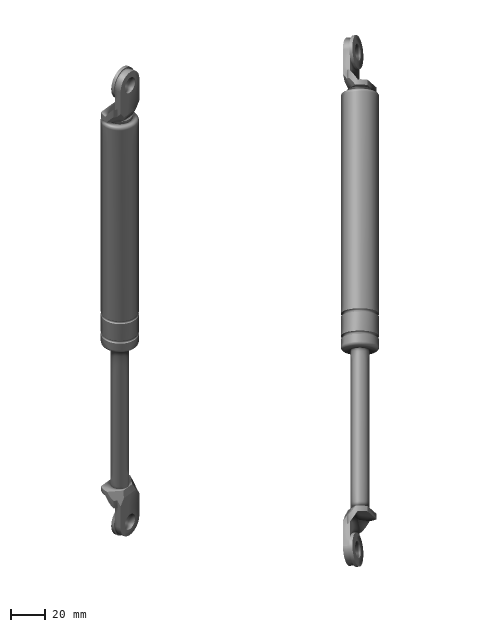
import cadquery as cq

total_length = 325.0
half_length = total_length / 2

eye_radius = 10.0
eye_hole_diameter = 10.0
eye_thickness = 2.0
eye_height = half_length - eye_radius

foot_radius = 11.2
foot_flat_x = -7.5
foot_thickness = 3.2
foot_bottom = half_length - 33.5
foot_top = foot_bottom + foot_thickness
tongue_inner_x = 3.2
tongue_outer_x = 7.5
tongue_width = 18.2
gusset_height = 6.8
gusset_start = 6.2
gusset_slope = 1.8
gusset_depth = 5.2
cut_margin = 1.5
heel_bevel_width = 1.5
heel_bevel_height = 4.0

cylinder_radius = 11.2
cylinder_top = half_length - 35.5
cylinder_bottom = -half_length + 132.0
cylinder_edge_fillet = 2.0
neck_radius = 7.5
groove_radius = 1.0
groove_heights = [-half_length + 139.8, -half_length + 153.5]

rod_radius = 5.5


def make_cylinder():
    """Cylinder with rounded rims, two rolled grooves and a neck under the upper bracket."""
    body = (
        cq.Workplane("XY", origin=(0, 0, cylinder_bottom))
        .circle(cylinder_radius)
        .extrude(cylinder_top - cylinder_bottom)
        .faces("<Z or >Z")
        .edges()
        .fillet(cylinder_edge_fillet)
    )
    for height in groove_heights:
        groove = cq.Solid.makeTorus(cylinder_radius, groove_radius, cq.Vector(0, 0, height))
        body = body.cut(cq.Workplane(groove))
    neck = (
        cq.Workplane("XY", origin=(0, 0, cylinder_top))
        .circle(neck_radius)
        .extrude(foot_bottom - cylinder_top)
    )
    return body.union(neck)


def make_rod():
    """Rod from the lower bracket's foot to the cylinder's lower end."""
    rod_bottom = -foot_bottom
    return (
        cq.Workplane("XY", origin=(0, 0, rod_bottom))
        .circle(rod_radius)
        .extrude(cylinder_bottom - rod_bottom)
    )


def make_foot():
    """Round foot plate, clipped flat on the inner side and at the back of the tongue."""
    depth = tongue_outer_x - foot_flat_x
    middle_x = (tongue_outer_x + foot_flat_x) / 2
    strip = (
        cq.Workplane("XY", origin=(0, 0, foot_bottom))
        .center(middle_x, 0)
        .rect(depth, 2 * foot_radius)
        .extrude(foot_thickness)
    )
    return strip.intersect(make_foot_column())


def make_foot_column():
    """Upright column of the round foot outline, as tall as the gussets."""
    return (
        cq.Workplane("XY", origin=(0, 0, foot_bottom))
        .circle(foot_radius)
        .extrude(foot_thickness + gusset_height)
    )


def make_corner_prism(points):
    """Prism across the +Y bend corner; points are (distance along the X=Y diagonal, Z)."""
    diagonal = cq.Plane(origin=(0, 0, 0), xDir=(1, 1, 0), normal=(1, -1, 0))
    return cq.Workplane(diagonal).polyline(points).close().extrude(2 * foot_radius, both=True)


def make_gusset():
    """Sloping corner fill between the foot and the +Y edge of the tongue."""
    outer = gusset_start + gusset_height / gusset_slope
    prism = make_corner_prism([
        (gusset_start, foot_top),
        (outer, foot_top + gusset_height),
        (outer, foot_top),
    ])
    back_limit = (
        cq.Workplane("XY", origin=(tongue_outer_x - foot_radius, 0, foot_bottom))
        .rect(2 * foot_radius, 2 * foot_radius)
        .extrude(foot_thickness + gusset_height)
    )
    return prism.intersect(make_foot_column()).intersect(back_limit)


def make_underside_cut():
    """Cut below the gusset, parallel to its sloping face."""
    outer = foot_radius + cut_margin
    start = gusset_start + (gusset_depth - foot_thickness) / gusset_slope
    return make_corner_prism([
        (start, foot_bottom),
        (outer, foot_bottom + gusset_slope * (outer - start)),
        (outer, foot_bottom),
    ])


def make_heel_bevel():
    """Wedge removed along the bend between the foot and the back of the tongue."""
    return (
        cq.Workplane("XZ")
        .moveTo(tongue_outer_x - heel_bevel_width, foot_bottom)
        .lineTo(tongue_outer_x, foot_bottom)
        .lineTo(tongue_outer_x, foot_bottom + heel_bevel_height)
        .close()
        .extrude(foot_radius, both=True)
    )


def make_tongue():
    """Upright tongue with a round end and the eye hole."""
    half_width = tongue_width / 2
    return (
        cq.Workplane("YZ", origin=(tongue_inner_x, 0, 0))
        .moveTo(-half_width, foot_bottom)
        .lineTo(half_width, foot_bottom)
        .lineTo(half_width, eye_height)
        .threePointArc((0, eye_height + half_width), (-half_width, eye_height))
        .close()
        .moveTo(0, eye_height)
        .circle(eye_hole_diameter / 2)
        .extrude(tongue_outer_x - tongue_inner_x)
    )


def make_upper_bracket():
    gusset = make_gusset()
    underside_cut = make_underside_cut()
    return (
        make_foot()
        .union(make_tongue())
        .union(gusset)
        .union(gusset.mirror("XZ"))
        .cut(underside_cut)
        .cut(underside_cut.mirror("XZ"))
        .cut(make_heel_bevel())
    )


def make_upper_eye():
    """Ring against the inner face of the tongue."""
    return (
        cq.Workplane("YZ", origin=(tongue_inner_x - eye_thickness, 0, eye_height))
        .circle(eye_radius)
        .circle(eye_hole_diameter / 2)
        .extrude(eye_thickness)
    )


def at_both_ends(upper_body):
    """The upper body and its mirror image at the lower end."""
    return [upper_body.val(), upper_body.mirror("XY").val()]


cylinder = make_cylinder()
rod = make_rod()
brackets = at_both_ends(make_upper_bracket())
eyes = at_both_ends(make_upper_eye())

result = cq.Compound.makeCompound([cylinder.val(), rod.val(), *brackets, *eyes])